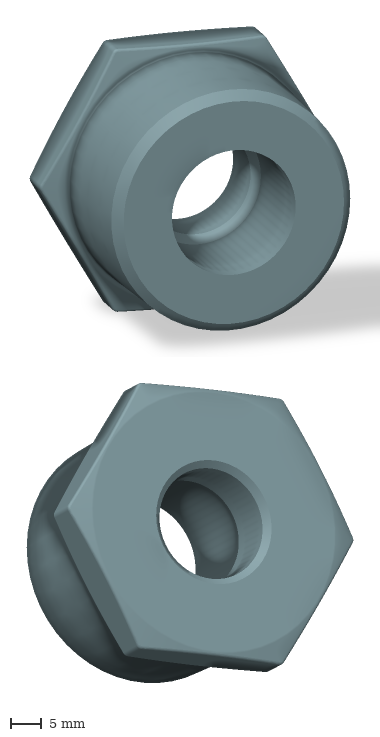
import cadquery as cq
import math

across_flats = 45.0
head_length = 8.0
corner_fillet = 1.0
face_circle_radius = 21.95
rim_margin = 0.5
bevel_angle = 15
face_fillet = 1.0
flat_edge_fillet = 0.5

total_length = 30.0
plug_radius = 42.3 / 2
root_fillet = 0.3
straight_end = 10.95
taper = 1 / 16
end_chamfer = 1.6

bore_radius = 18.65 / 2
mouth_radius = 20.85 / 2
mouth_depth = mouth_radius - bore_radius
bore_end = 10.35
cavity_radius = 21.35 / 2
cavity_start = bore_end + cavity_radius - bore_radius


def revolve_about_x(points):
    """Solid of revolution about X from (x, radius) points."""
    return cq.Workplane("XY").polyline(points).close().revolve(360, (0, 0, 0), (1, 0, 0))


def make_head():
    """Hexagon with rounded corners and a shallow conical bevel on both faces."""
    sharp_corner_diameter = across_flats / math.cos(math.radians(30))
    hexagon = cq.Workplane("YZ").polygon(6, sharp_corner_diameter).extrude(head_length)
    hexagon = hexagon.edges("|X").fillet(corner_fillet)

    rim_radius = sharp_corner_diameter / 2 + rim_margin
    bevel_depth = (rim_radius - face_circle_radius) * math.tan(math.radians(bevel_angle))
    bevel_blank = revolve_about_x([
        (0, 0),
        (0, face_circle_radius),
        (bevel_depth, rim_radius),
        (head_length - bevel_depth, rim_radius),
        (head_length, face_circle_radius),
        (head_length, 0),
    ])
    bevel_blank = bevel_blank.faces("<X or >X").edges().fillet(face_fillet)

    head = hexagon.intersect(bevel_blank)
    return head.edges("not(%CIRCLE or %LINE)").fillet(flat_edge_fillet)


def make_plug():
    """Root fillet against the head, straight collar, tapered length and chamfered end."""
    chamfer_start = total_length - end_chamfer
    taper_end_radius = plug_radius - (chamfer_start - straight_end) * taper / 2
    arc_offset = root_fillet * (1 - math.cos(math.radians(45)))
    profile = (
        cq.Workplane("XY")
        .moveTo(head_length, 0)
        .lineTo(head_length, plug_radius + root_fillet)
        .threePointArc(
            (head_length + arc_offset, plug_radius + arc_offset),
            (head_length + root_fillet, plug_radius),
        )
        .lineTo(straight_end, plug_radius)
        .lineTo(chamfer_start, taper_end_radius)
        .lineTo(total_length, taper_end_radius - end_chamfer)
        .lineTo(total_length, 0)
        .close()
    )
    return profile.revolve(360, (0, 0, 0), (1, 0, 0))


def make_bore():
    """Chamfered mouth, narrow bore, then a 45 degree step into the wider rear bore."""
    return revolve_about_x([
        (0, 0),
        (0, mouth_radius),
        (mouth_depth, bore_radius),
        (bore_end, bore_radius),
        (cavity_start, cavity_radius),
        (total_length, cavity_radius),
        (total_length, 0),
    ])


result = make_head().union(make_plug()).cut(make_bore())